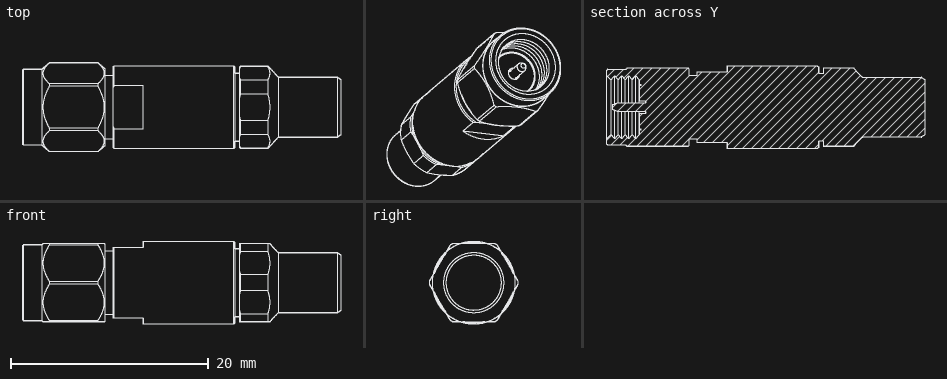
import cadquery as cq
import math

TOTAL_LENGTH = 32.25
NUT_HEX_START = 2.0
NUT_END = 8.4
BODY_START = 9.15
FLAT_END = 12.23
BODY_END = 21.52
REAR_NUT_START = 21.97
REAR_CONE_END = 25.9
REAR_NUT_CONE_LENGTH = 1.05

NUT_COLLAR_DIAMETER = 7.7
NUT_FACE_DIAMETER = 7.77
NUT_CORNER_DIAMETER = 9.0
NECK_DIAMETER = 6.45
BODY_DIAMETER = 8.4
GROOVE_DIAMETER = 6.9
TAIL_DIAMETER = 6.1

HEX_ACROSS_FLATS = 7.95
BODY_ACROSS_FLATS = 7.15
NUT_CONE_LENGTH = 0.75
EDGE_BREAK = 0.13
TAIL_CHAMFER_LENGTH = 0.4
TAIL_CHAMFER_DEPTH = 0.25

MOUTH_DIAMETER = 6.45
THREAD_ROOT_DIAMETER = 6.35
THREAD_CREST_DIAMETER = 5.5
THREAD_PITCH = 0.7
THREAD_START = 0.5
THREAD_COUNT = 4
SOCKET_DEPTH = THREAD_START + THREAD_COUNT * THREAD_PITCH
INSULATOR_DIAMETER = 4.45
INSULATOR_BORE_DIAMETER = 4.58
INSULATOR_GAP_DEPTH = 0.15
PIN_CLEARANCE_DIAMETER = 1.2
PIN_CLEARANCE_DEPTH = 0.65
PIN_DIAMETER = 0.95
PIN_TIP_DIAMETER = 0.52
PIN_TIP_X = 0.6
PIN_TAPER_LENGTH = 0.55


def revolve_profile(points):
    """Turn a list of (x, radius) points about the X axis."""
    return cq.Workplane("XY").polyline(points).close().revolve(360, (0, 0, 0), (1, 0, 0))


def cylinder(start, end, diameter):
    """Cylinder along X between two stations."""
    return cq.Workplane("YZ").workplane(offset=start).circle(diameter / 2).extrude(end - start)


def hex_prism(start, end):
    """Hexagonal prism along X with one pair of flats facing up and down."""
    corner_diameter = HEX_ACROSS_FLATS / math.cos(math.pi / 6)
    return (
        cq.Workplane("YZ").workplane(offset=start).polygon(6, corner_diameter).extrude(end - start)
    )


def coupling_nut():
    """Round collar followed by a hexagon whose corners are turned down at both ends."""
    face_radius = NUT_FACE_DIAMETER / 2
    corner_radius = NUT_CORNER_DIAMETER / 2
    collar = cylinder(0, NUT_HEX_START, NUT_COLLAR_DIAMETER).faces("<X").chamfer(EDGE_BREAK)
    envelope = revolve_profile([
        (NUT_HEX_START, 0),
        (NUT_HEX_START, face_radius),
        (NUT_HEX_START + NUT_CONE_LENGTH, corner_radius),
        (NUT_END - NUT_CONE_LENGTH, corner_radius),
        (NUT_END, face_radius),
        (NUT_END, 0),
    ])
    return collar.union(hex_prism(NUT_HEX_START, NUT_END).intersect(envelope))


def body():
    """Main barrel with two wrench flats at its front end."""
    barrel = cylinder(BODY_START, BODY_END, BODY_DIAMETER).faces("<X or >X").chamfer(EDGE_BREAK)
    flat_length = FLAT_END - BODY_START
    barrel_front = cylinder(BODY_START, FLAT_END, BODY_DIAMETER)
    kept_slab = cq.Workplane("XY").box(flat_length, BODY_DIAMETER, BODY_ACROSS_FLATS)
    kept_slab = kept_slab.translate((BODY_START + flat_length / 2, 0, 0))
    return barrel.cut(barrel_front.cut(kept_slab))


def rear_nut():
    """Hexagon with rounded corners, tapering towards the tail."""
    nut_radius = BODY_DIAMETER / 2
    envelope = revolve_profile([
        (REAR_NUT_START, 0),
        (REAR_NUT_START, nut_radius - EDGE_BREAK),
        (REAR_NUT_START + EDGE_BREAK, nut_radius),
        (REAR_CONE_END - REAR_NUT_CONE_LENGTH, nut_radius),
        (REAR_CONE_END, TAIL_DIAMETER / 2),
        (REAR_CONE_END, 0),
    ])
    return hex_prism(REAR_NUT_START, REAR_CONE_END).intersect(envelope)


def tail():
    """Plain round tail with a chamfered end."""
    tail_radius = TAIL_DIAMETER / 2
    return revolve_profile([
        (BODY_END, 0),
        (BODY_END, tail_radius),
        (TOTAL_LENGTH - TAIL_CHAMFER_LENGTH, tail_radius),
        (TOTAL_LENGTH, tail_radius - TAIL_CHAMFER_DEPTH),
        (TOTAL_LENGTH, 0),
    ])


def threaded_socket():
    """Socket cavity: tapered mouth, then V-shaped thread rings down to a flat floor."""
    root_radius = THREAD_ROOT_DIAMETER / 2
    crest_radius = THREAD_CREST_DIAMETER / 2
    points = [
        (0, 0),
        (0, MOUTH_DIAMETER / 2),
        (THREAD_START, crest_radius),
    ]
    for ring in range(THREAD_COUNT):
        ring_start = THREAD_START + ring * THREAD_PITCH
        points.append((ring_start + THREAD_PITCH / 2, root_radius))
        points.append((ring_start + THREAD_PITCH, crest_radius))
    points.append((SOCKET_DEPTH, 0))
    return revolve_profile(points)


def centre_pin():
    """Contact pin with a tapered tip, standing in the socket."""
    pin_radius = PIN_DIAMETER / 2
    return revolve_profile([
        (PIN_TIP_X, 0),
        (PIN_TIP_X, PIN_TIP_DIAMETER / 2),
        (PIN_TIP_X + PIN_TAPER_LENGTH, pin_radius),
        (SOCKET_DEPTH + PIN_CLEARANCE_DEPTH, pin_radius),
        (SOCKET_DEPTH + PIN_CLEARANCE_DEPTH, 0),
    ])


outside = coupling_nut().union(cylinder(NUT_END, BODY_START, NECK_DIAMETER)).union(body())
outside = outside.union(cylinder(BODY_END, REAR_NUT_START, GROOVE_DIAMETER))
outside = outside.union(rear_nut()).union(tail())

gap_end = SOCKET_DEPTH + INSULATOR_GAP_DEPTH
insulator_gap = cylinder(SOCKET_DEPTH, gap_end, INSULATOR_BORE_DIAMETER)
insulator_gap = insulator_gap.cut(cylinder(SOCKET_DEPTH, gap_end, INSULATOR_DIAMETER))
pin_clearance_end = SOCKET_DEPTH + PIN_CLEARANCE_DEPTH
result = outside.cut(threaded_socket())
result = result.cut(insulator_gap)
result = result.cut(cylinder(SOCKET_DEPTH, pin_clearance_end, PIN_CLEARANCE_DIAMETER))
result = result.union(centre_pin())